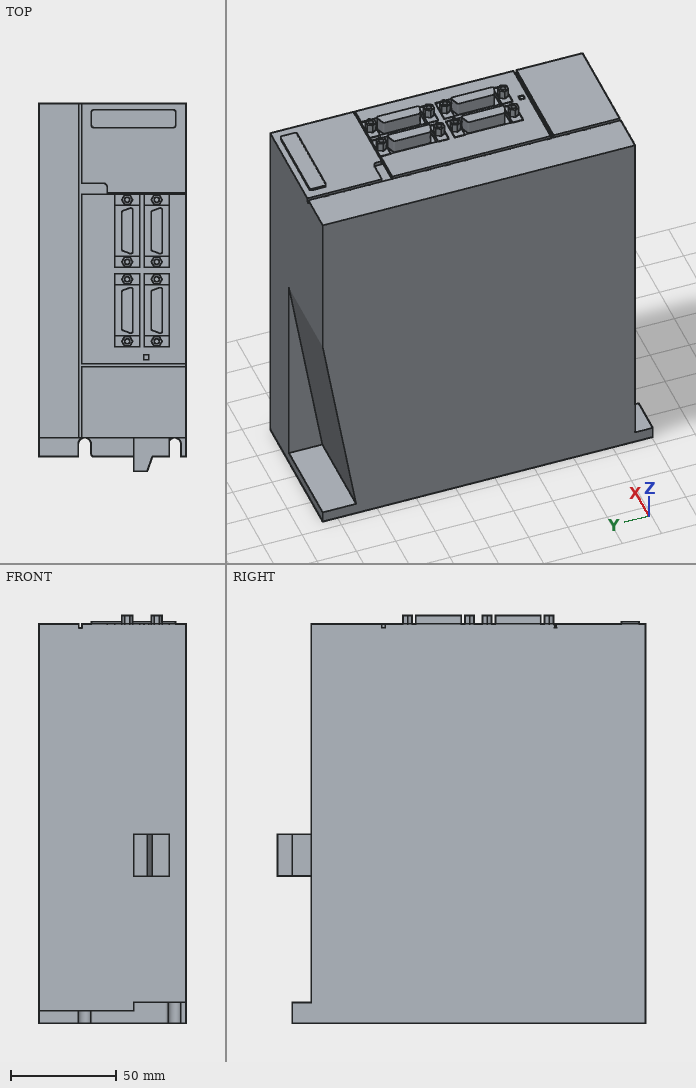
import cadquery as cq
import math

width = 70.0
depth = 159.0
height = 190.0
base_thickness = 6.0

flange_reach = 9.0
flange_step_x = 45.0
flange_raised_thickness = 10.0
slot_width = 6.0
slot_centers_x = (21.75, 64.5)
flange_corner_radius = 1.5

relief_width = flange_step_x
relief_depth = 17.0
relief_top = 112.0

block_reach = 16.0
block_left = flange_step_x
block_right = 62.0
block_nose_right = 51.5
block_slope_right = 54.0
block_bottom = 70.0
block_height = 20.0

groove_depth = 2.0
groove_width = 1.5
side_groove_x = 19.0
groove_right = side_groove_x + groove_width
cross_groove_y = 33.7
slit_y = depth - 43.2
slit_width = 0.75
notch_width = 12.0
notch_length = 5.25
notch_radius = 2.0

label_length = 40.0
label_width = 8.4
label_height = 1.0
label_radius = 1.0
label_center = (45.0, depth - 7.3)

frame_width = 12.0
frame_length = 34.8
frame_recess = 3.0
end_pad_length = 5.3
pad_recess = 0.5
frame_pitch_x = 14.0
frame_pitch_y = 37.8
first_frame_x = 42.0
first_frame_y = slit_y - frame_length / 2
connector_height = 4.0
shell_width = 5.3
shell_long_side = 22.6
shell_short_side = 18.6
shell_corner_radius = 1.0
standoff_flats = 4.4
standoff_bore = 2.4
standoff_offset = (frame_length - end_pad_length) / 2

window_size = 2.4
window_depth = 0.5
window_center = (51.1, depth - 120.8)


def box(x, y, z, dx, dy, dz):
    """Box given by its minimum corner and its size."""
    return cq.Workplane("XY").box(dx, dy, dz, centered=False).translate((x, y, z))


def make_housing():
    """Plain box with a sloped relief at the back, beside the thicker part of the base."""
    profile = [
        (depth, base_thickness),
        (depth - relief_depth, base_thickness),
        (depth, relief_top),
    ]
    relief = cq.Workplane("YZ").polyline(profile).close().extrude(relief_width)
    return box(0, 0, 0, width, depth, height).cut(relief)


def make_flange():
    """Two-level flange with open slots whose round ends touch the front face."""
    low = box(0, -flange_reach, 0, width, flange_reach, base_thickness)
    raised = box(
        flange_step_x, -flange_reach, 0, width - flange_step_x, flange_reach, flange_raised_thickness
    )
    flange = low.union(raised)
    radius = slot_width / 2
    for x in slot_centers_x:
        slot = (
            cq.Workplane("XY")
            .moveTo(x - radius, -flange_reach)
            .lineTo(x - radius, -radius)
            .threePointArc((x, 0), (x + radius, -radius))
            .lineTo(x + radius, -flange_reach)
            .close()
            .extrude(flange_raised_thickness)
        )
        flange = flange.cut(slot)
    tongue_sides = (slot_centers_x[0] + radius, slot_centers_x[1] - radius)
    for x in tongue_sides:
        corner = cq.selectors.NearestToPointSelector((x, -flange_reach, base_thickness / 2))
        flange = flange.edges("|Z").edges(corner).fillet(flange_corner_radius)
    return flange


def make_terminal_block():
    """Block with a nose on its left and a slope down to a lower step on its right."""
    outline = [
        (block_left, 0),
        (block_left, -block_reach),
        (block_nose_right, -block_reach),
        (block_slope_right, -flange_reach),
        (block_right, -flange_reach),
        (block_right, 0),
    ]
    return (
        cq.Workplane("XY")
        .workplane(offset=block_bottom)
        .polyline(outline)
        .close()
        .extrude(block_height)
    )


def make_grooves():
    """Lengthwise groove, cross groove, and thin slit that widens into a notch."""
    floor = height - groove_depth
    across = width - side_groove_x
    side = box(side_groove_x, 0, floor, groove_width, depth, groove_depth)
    cross = box(side_groove_x, cross_groove_y, floor, across, groove_width, groove_depth)
    slit = box(side_groove_x, slit_y, floor, across, slit_width, groove_depth)
    notch = box(groove_right, slit_y, floor, notch_width, notch_length, groove_depth)
    notch = notch.edges("|Z and >X and >Y").fillet(notch_radius)
    return side.union(cross).union(slit).union(notch)


def make_label():
    label = cq.Workplane("XY").box(label_length, label_width, label_height, centered=(True, True, False))
    return label.edges("|Z").fillet(label_radius).translate((*label_center, height))


def make_frame_pocket():
    """Connector recess, centred on the origin, with higher pads at its ends."""
    pocket = cq.Workplane("XY").box(frame_width, frame_length, frame_recess, centered=(True, True, False))
    pad_rise = frame_recess - pad_recess
    pad = cq.Workplane("XY").box(frame_width, end_pad_length, pad_rise, centered=(True, True, False))
    for side in (-1, 1):
        pocket = pocket.cut(pad.translate((0, side * standoff_offset, 0)))
    return pocket.translate((0, 0, height - frame_recess))


def make_connector():
    """D-shaped shell between two bored hexagonal standoffs, centred on the origin."""
    rise = connector_height + frame_recess
    shell_outline = [
        (-shell_width / 2, -shell_short_side / 2),
        (shell_width / 2, -shell_long_side / 2),
        (shell_width / 2, shell_long_side / 2),
        (-shell_width / 2, shell_short_side / 2),
    ]
    shell = cq.Workplane("XY").polyline(shell_outline).close().extrude(rise)
    connector = shell.edges("|Z").fillet(shell_corner_radius)
    across_corners = standoff_flats / math.cos(math.pi / 6)
    standoff = cq.Workplane("XY").polygon(6, across_corners).extrude(rise)
    bore = cq.Workplane("XY").circle(standoff_bore / 2).extrude(connector_height)
    standoff = standoff.cut(bore.translate((0, 0, frame_recess)))
    for side in (-1, 1):
        connector = connector.union(standoff.translate((0, side * standoff_offset, 0)))
    return connector.translate((0, 0, height - frame_recess))


def make_window():
    window = cq.Workplane("XY").box(window_size, window_size, window_depth, centered=(True, True, False))
    return window.translate((*window_center, height - window_depth))


result = make_housing().union(make_flange()).union(make_terminal_block())
result = result.cut(make_grooves()).cut(make_window()).union(make_label())

pocket = make_frame_pocket()
connector = make_connector()
for column in range(2):
    for row in range(2):
        position = (
            first_frame_x + column * frame_pitch_x,
            first_frame_y - row * frame_pitch_y,
            0,
        )
        result = result.cut(pocket.translate(position)).union(connector.translate(position))